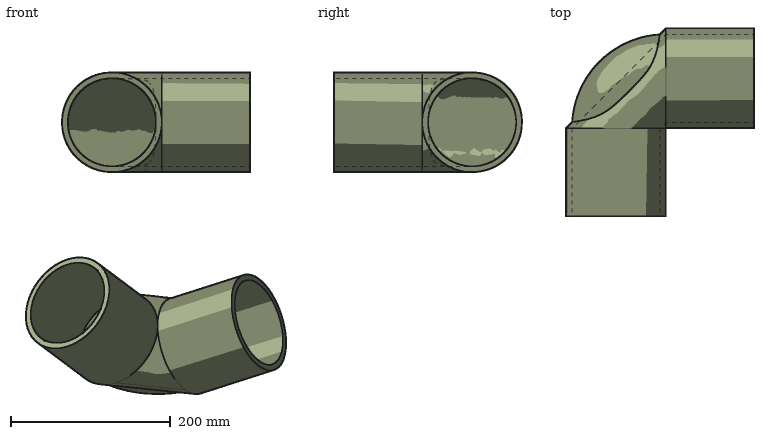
import cadquery as cq

overall_length = 235.5
outer_diameter = 125.0
bore_diameter = 110.2

outer_radius = outer_diameter / 2
bore_radius = bore_diameter / 2
leg_length = overall_length - outer_diameter

leg_y_end = cq.Plane(origin=(0, -outer_radius, 0), xDir=(1, 0, 0), normal=(0, -1, 0))
leg_x_end = cq.Plane(origin=(outer_radius, 0, 0), xDir=(0, 1, 0), normal=(1, 0, 0))


def make_legs(radius):
    """Two straight round legs at right angles."""
    leg_y = cq.Workplane(leg_y_end).circle(radius).extrude(leg_length)
    leg_x = cq.Workplane(leg_x_end).circle(radius).extrude(leg_length)
    return leg_y, leg_x


def make_diagonal_link(radius):
    """Slanted cylinder at 45 degrees whose ends are the circles of both legs."""
    start_circle = cq.Wire.makeCircle(radius, leg_y_end.origin, leg_y_end.zDir)
    slant = cq.Vector(2 * outer_diameter, 2 * outer_diameter, 0)
    slanted = cq.Workplane(cq.Solid.extrudeLinear(start_circle, [], slant))
    corner_block = cq.Workplane("XY").box(outer_diameter, outer_diameter, outer_diameter)
    return slanted.intersect(corner_block)


def make_bend():
    """Quarter torus bulging from the outside of the corner, as thick as the bore."""
    return cq.Workplane(leg_y_end).circle(bore_radius).revolve(
        90, (outer_radius, 2.4, 0), (outer_radius, -2.4, 0)
    )


def join_legs_and_link(radius):
    leg_y, leg_x = make_legs(radius)
    return leg_y.union(make_diagonal_link(radius)).union(leg_x)


outer_body = join_legs_and_link(outer_radius).union(make_bend())
result = outer_body.cut(join_legs_and_link(bore_radius))